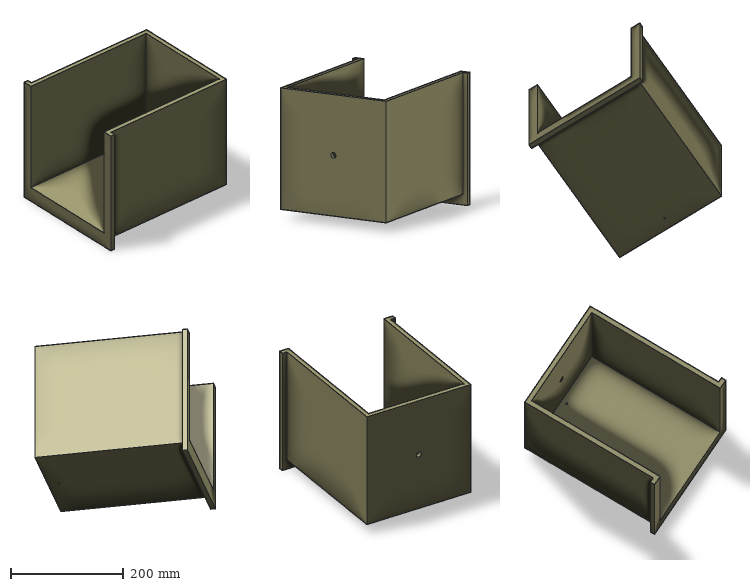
import cadquery as cq

flange_width = 237.0
length = 280.0
height = 242.0

wall = 9.0
side_overhang = 9.5
bottom_overhang = 20.0

back_hole_diameter = 10.0
floor_hole_diameter = 2.5
floor_hole_from_back = 19.5

body_width = flange_width - 2 * side_overhang
inner_width = body_width - 2 * wall
body_height = height - bottom_overhang
inner_height = body_height - wall
floor_top = bottom_overhang + wall


def block(width, depth, tall, front, bottom):
    """Box centred on X, starting at the given front (Y) and bottom (Z)."""
    return (
        cq.Workplane("XY")
        .box(width, depth, tall, centered=(True, False, False))
        .translate((0, front, bottom))
    )


body = block(body_width, length, body_height, 0, bottom_overhang)
flange = block(flange_width, wall, height, 0, 0)

cavity = block(inner_width, length - wall, inner_height, 0, floor_top)

back_hole = (
    cq.Workplane("XZ", origin=(0, length, bottom_overhang + body_height / 2))
    .circle(back_hole_diameter / 2)
    .extrude(wall)
)

floor_hole = (
    cq.Workplane("XY", origin=(0, length - floor_hole_from_back, bottom_overhang))
    .circle(floor_hole_diameter / 2)
    .extrude(wall)
)

result = body.union(flange).cut(cavity).cut(back_hole).cut(floor_hole)